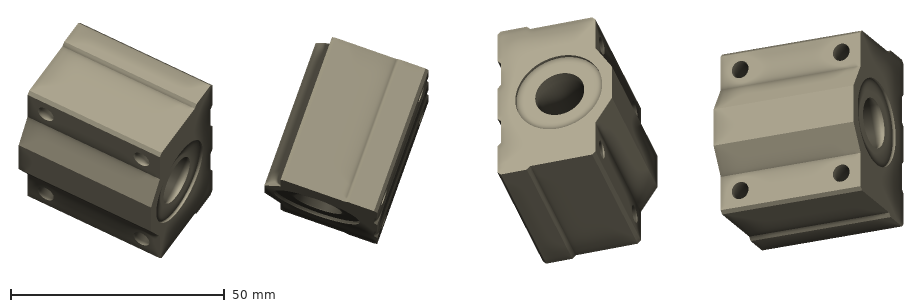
import cadquery as cq

length = 36.0
height = 42.0
depth = 28.0
back_y = 15.0
front_y = back_y - depth

chamfer = 0.8
rail_step = 0.85
rail_depth = 7.2
shoulder_depth = 24.0
ridge_base_half = 10.95
ridge_tip_half = 4.58
groove_depth = 0.8
groove_inner_z = 4.45
groove_outer_z = 12.47

bore_diameter = 12.0
bushing_diameter = 21.25
bushing_recess = 0.75
hole_diameter = 4.3
hole_spacing_x = 26.0
hole_spacing_z = 30.5


def make_block():
    """Extrude the symmetric housing profile along X."""
    half_height = height / 2
    body_half = half_height - rail_step
    shoulder_y = back_y - shoulder_depth
    rail_end_y = back_y - rail_depth
    groove_y = back_y - groove_depth
    upper_half = [
        (front_y, ridge_tip_half),
        (shoulder_y, ridge_base_half),
        (shoulder_y, body_half - chamfer),
        (shoulder_y + chamfer, body_half),
        (rail_end_y - rail_step, body_half),
        (rail_end_y, half_height),
        (back_y - chamfer, half_height),
        (back_y, half_height - chamfer),
        (back_y, groove_outer_z),
        (groove_y, groove_outer_z - groove_depth),
        (groove_y, groove_inner_z + groove_depth),
        (back_y, groove_inner_z),
    ]
    lower_half = [(y, -z) for y, z in reversed(upper_half)]
    return (
        cq.Workplane("YZ")
        .polyline(upper_half + lower_half)
        .close()
        .extrude(length / 2, both=True)
    )


def cylinder_x(diameter, start_x, span):
    """Cylinder on the bore axis, running from start_x toward +X."""
    return cq.Workplane("YZ", origin=(start_x, 0, 0)).circle(diameter / 2).extrude(span)


def make_mounting_holes():
    """Four cylinders along Y through the full depth of the block."""
    return (
        cq.Workplane("XZ", origin=(0, back_y, 0))
        .rarray(hole_spacing_x, hole_spacing_z, 2, 2)
        .circle(hole_diameter / 2)
        .extrude(depth)
    )


result = make_block().cut(make_mounting_holes())
result = result.cut(cylinder_x(bore_diameter, -length / 2, length))

for recess_start in (-length / 2, length / 2 - bushing_recess):
    result = result.cut(cylinder_x(bushing_diameter, recess_start, bushing_recess))